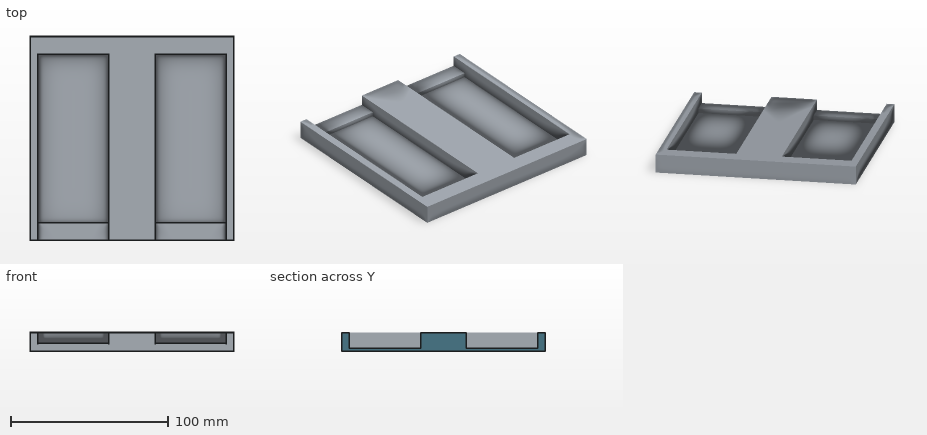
import cadquery as cq

PLATE_SIZE = 129.6
PLATE_HEIGHT = 12.0

SIDE_WALL = 4.95
POCKET_WIDTH = 45.1
BACK_WALL = 11.25
SILL_LENGTH = BACK_WALL
SILL_HEIGHT = 5.0
FLOOR_HEIGHT = 2.0

FRONT_Y = -PLATE_SIZE / 2
SILL_BACK_Y = FRONT_Y + SILL_LENGTH
POCKET_BACK_Y = PLATE_SIZE / 2 - BACK_WALL
POCKET_CENTRE_X = PLATE_SIZE / 2 - SIDE_WALL - POCKET_WIDTH / 2


def plate():
    """Plain square plate, centred in X and Y."""
    return cq.Workplane("XY").box(PLATE_SIZE, PLATE_SIZE, PLATE_HEIGHT, centered=(True, True, False))


def pocket(centre_x):
    """Volume of one pocket: a raised sill at the open front, then a deeper flat floor."""
    profile = [
        (FRONT_Y, PLATE_HEIGHT),
        (FRONT_Y, SILL_HEIGHT),
        (SILL_BACK_Y, SILL_HEIGHT),
        (SILL_BACK_Y, FLOOR_HEIGHT),
        (POCKET_BACK_Y, FLOOR_HEIGHT),
        (POCKET_BACK_Y, PLATE_HEIGHT),
    ]
    side_plane = cq.Workplane("YZ", origin=(centre_x, 0, 0))
    return side_plane.polyline(profile).close().extrude(POCKET_WIDTH / 2, both=True)


result = plate()
for side in (-1, 1):
    result = result.cut(pocket(side * POCKET_CENTRE_X))